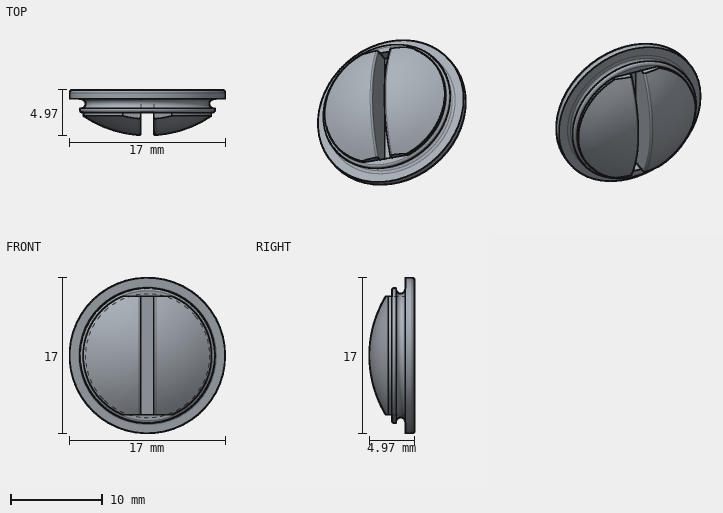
import cadquery as cq
import math

flange_radius = 8.5
flange_thickness = 1.0
edge_round = 0.3
groove_root_radius = 7.5
groove_radius = 0.48
groove_depth = 1.53
groove_floor_radius = 6.77
bead_radius = 7.4
bead_face = 2.5
dome_radius = 7.0
dome_base = 2.85
dome_apex = 5.0
flat_half_height = 6.48
slot_width = 1.4
slot_floor = flange_thickness
slot_edge_round = 0.2

back_y = dome_apex / 2


def place(radius, depth):
    return radius, back_y - depth


def turn(profile):
    return profile.close().revolve(360, (0, 0, 0), (0, 1, 0))


def make_base():
    """Flange, round seal groove and bead as one turned body."""
    groove_center = groove_floor_radius + groove_radius
    bead_depth = bead_face - edge_round
    bead_center = bead_radius - edge_round

    gap_depth = bead_depth - groove_depth
    gap_radius = bead_center - groove_center
    gap = math.hypot(gap_depth, gap_radius)
    along = (gap**2 + groove_radius**2 - edge_round**2) / (2 * gap)
    across = math.sqrt(groove_radius**2 - along**2)
    meet_depth = groove_depth + (along * gap_depth - across * gap_radius) / gap
    meet_radius = groove_center + (along * gap_radius + across * gap_depth) / gap

    root_gap_depth = groove_depth - flange_thickness
    root_gap_radius = groove_root_radius - groove_center
    root_gap = math.hypot(root_gap_depth, root_gap_radius)
    wall_angle = math.atan2(root_gap_depth, root_gap_radius) + math.acos(groove_radius / root_gap)
    wall_end_radius = groove_center + groove_radius * math.cos(wall_angle)
    wall_end_depth = groove_depth - groove_radius * math.sin(wall_angle)

    diagonal = edge_round * math.sqrt(0.5)
    flange_center = flange_radius - edge_round
    profile = (
        cq.Workplane("XY")
        .moveTo(*place(0, 0))
        .lineTo(*place(flange_center, 0))
        .threePointArc(
            place(flange_center + diagonal, edge_round - diagonal),
            place(flange_radius, edge_round),
        )
        .lineTo(*place(flange_radius, flange_thickness))
        .lineTo(*place(groove_root_radius, flange_thickness))
        .lineTo(*place(wall_end_radius, wall_end_depth))
        .threePointArc(place(groove_floor_radius, groove_depth), place(meet_radius, meet_depth))
        .threePointArc(place(bead_radius, bead_depth), place(bead_center, bead_face))
        .lineTo(*place(0, bead_face))
    )
    return turn(profile)


def make_dome():
    """Spherical dome on a short rim, with two flats and a slot splitting it in half."""
    rise = dome_apex - dome_base
    sphere_radius = (dome_radius**2 + rise**2) / (2 * rise)
    half_chord = dome_radius / 2
    arc_depth = dome_apex - sphere_radius + math.sqrt(sphere_radius**2 - half_chord**2)
    profile = (
        cq.Workplane("XY")
        .moveTo(*place(0, bead_face))
        .lineTo(*place(dome_radius, bead_face))
        .lineTo(*place(dome_radius, dome_base))
        .threePointArc(place(half_chord, arc_depth), place(0, dome_apex))
    )
    full_size = 2 * flange_radius
    flats = cq.Workplane("XY").box(full_size, full_size, 2 * flat_half_height)
    slot = cq.Workplane("XY").box(slot_width, full_size, full_size)
    dome = turn(profile).intersect(flats).cut(slot)

    reach = slot_width / 2 + slot_edge_round / 10
    edge_zone = cq.selectors.BoxSelector(
        (-reach, back_y - dome_apex, -slot_width),
        (reach, back_y - dome_base, slot_width),
    )
    return dome.edges(edge_zone).fillet(slot_edge_round)


def make_slot_pocket():
    """Lower part of the slot, sunk into the base and ending level with the dome's flats."""
    depth = bead_face - slot_floor
    center_y = back_y - (bead_face + slot_floor) / 2
    return cq.Workplane("XY").box(slot_width, depth, 2 * flat_half_height).translate((0, center_y, 0))


result = make_base().cut(make_slot_pocket()).union(make_dome())